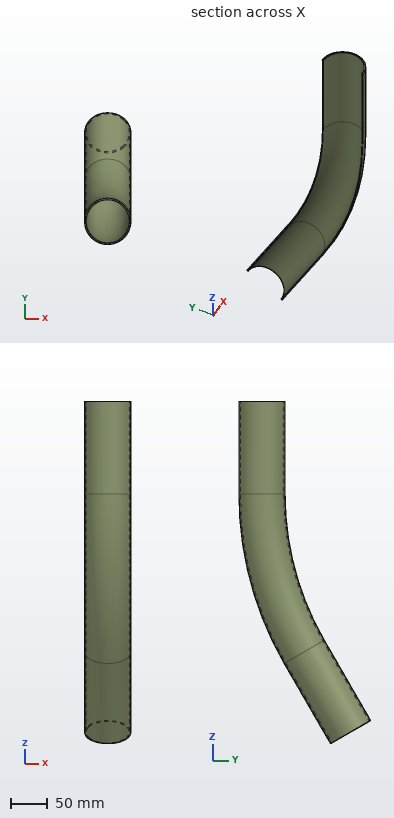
import cadquery as cq
import math

outer_diameter = 63.5
inner_diameter = 59.28
leg_length = 127.0
bend_radius = 431.8
bend_angle = 30.0


def bend_point(angle):
    """Centreline point (y, z) of the bend, at an angle in degrees below the upper leg."""
    turn = math.radians(angle)
    y = bend_radius * (1 - math.cos(turn))
    z = -leg_length - bend_radius * math.sin(turn)
    return y, z


def tube_centreline():
    """Path from the upper mouth at the origin, down the bend, to the lower mouth."""
    bend_end_y, bend_end_z = bend_point(bend_angle)
    lean = math.radians(bend_angle)
    lower_mouth = (
        bend_end_y + leg_length * math.sin(lean),
        bend_end_z - leg_length * math.cos(lean),
    )
    return (
        cq.Workplane("YZ")
        .moveTo(0, 0)
        .lineTo(*bend_point(0))
        .threePointArc(bend_point(bend_angle / 2), (bend_end_y, bend_end_z))
        .lineTo(*lower_mouth)
    )


def bent_rod(diameter):
    """Solid round bar that follows the tube centreline."""
    return cq.Workplane("XY").circle(diameter / 2).sweep(tube_centreline())


result = bent_rod(outer_diameter).cut(bent_rod(inner_diameter))